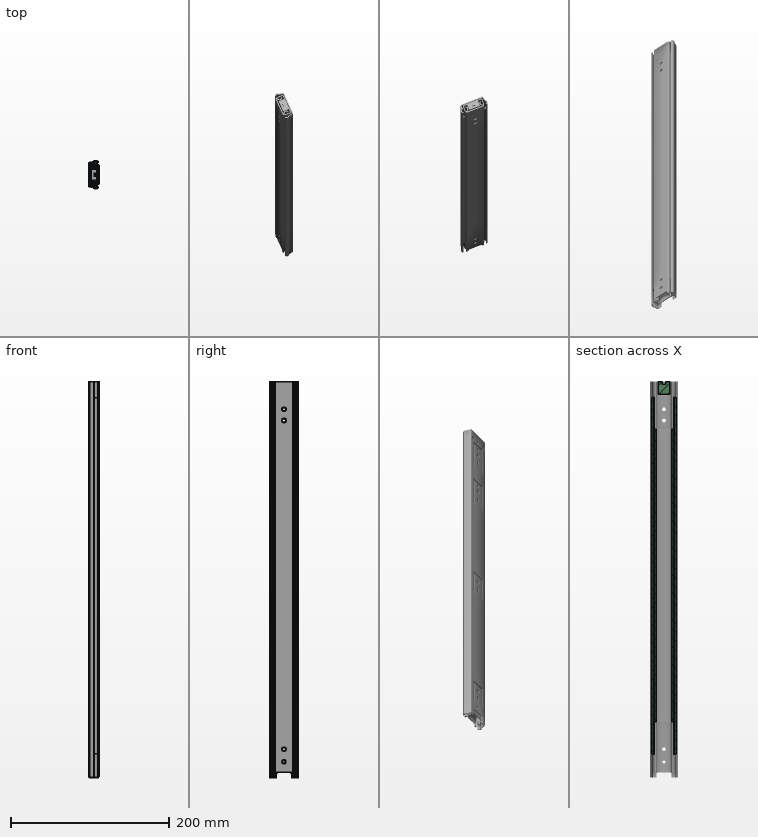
import cadquery as cq
import math


length = 500.0
slide_depth = 12.7
slide_width = 35.59

outer_sheet = 1.2
outer_half = 15.4
outer_corner_radius = 1.15
race_x = 8.6
race_radius = 3.3
race_y = slide_width / 2 - race_radius
race_start_x = 5.8
race_inside_start_x = 6.8
lip_x = 11.7
lead_chamfer = outer_sheet

middle_sheet = 1.1
middle_web_x = 1.7
middle_half = 13.2
middle_end_x = 10.4
middle_corner_radius = 1.5
middle_bottom = 6.6

inner_sheet = 1.2
inner_half = 12.4
inner_shoulder_x = 10.9
inner_corner_radius = 1.4
groove_x = 7.6
groove_y = 11.4
groove_radius = 2.3
groove_half = 2.1
inner_bottom = 2.0

notch_half = 9.6
outer_notch_top = 11.6
inner_notch_top = 6.6
notch_corner = 1.5

tab_half = 6.5
tab_slot = 3.0
tab_slot_end_radius = 1.2
tab_slot_ranges = [(437.5, 482.7), (374.2, 417.9), (217.6, 253.8), (26.4, 61.0)]
small_hole = 4.5
small_hole_heights = [486.7, 474.4, 411.0, 19.6]
large_hole = 6.2
large_hole_heights = [464.6, 401.4, 241.0, 49.0]
oblong_holes = [(449.5, 9.8), (385.5, 8.0), (228.2, 9.5), (36.0, 8.0)]
window_y_range = (8.3, 13.5)
window_z_range = (484.2, 490.3)

screw_hole = 4.5
screw_hole_heights = [465.3, 451.0, 36.0, 20.3]
middle_only_hole_heights = [487.8, 244.3]

outer_cage_gap = 0.1
outer_cage_sheet = 0.8
outer_cage_x_range = (1.5, 10.4)
outer_bead_y = 14.9
outer_bead_radius = 1.6
outer_cage_z_range = (30.0, 480.0)

inner_cage_sheet = 0.8
inner_cage_half = 11.7
inner_cage_end_x = 9.2
inner_bead_y = 10.6
inner_bead_radius = 1.3
inner_cage_z_range = (70.0, 440.0)

block_half = 7.4
block_end_x = 10.2
block_height = 16.0
block_slot_x = 7.4
block_slot_width = 1.0
block_slot_length = 3.6
block_slot_depth = 3.0

middle_web_end = middle_web_x + middle_sheet


def extruded(section, bottom, top):
    """Extrude a section in the XY plane from Z = bottom to Z = top."""
    return section.extrude(top - bottom).translate((0, 0, bottom))


def with_mirror(half):
    """Join a half body above Y = 0 with its mirror image."""
    return half.union(half.mirror("XZ"))


def box(x_range, y_range, z_range):
    """Box filling the given ranges."""
    ranges = (x_range, y_range, z_range)
    sizes = [high - low for low, high in ranges]
    corner = tuple(low for low, _ in ranges)
    return cq.Workplane("XY").box(*sizes, centered=False).translate(corner)


def across_y(half):
    return (-half, half)


def rise(radius, offset):
    """Distance of a circle from its centre line, offset along that line from the centre."""
    return math.sqrt(radius ** 2 - offset ** 2)


def holes(diameter, heights):
    """Cylinders along X on the centre line, reaching through every web."""
    points = [(0, height) for height in heights]
    return cq.Workplane("YZ").pushPoints(points).circle(diameter / 2).extrude(slide_depth)


def notch(top):
    """Cutter for the opening in a rail's lower end, with chamfered upper corners."""
    cutter = box((0, slide_depth), across_y(notch_half), (0, top))
    return cutter.edges("|X and >Z").chamfer(notch_corner)


def outer_profile():
    inside_radius = race_radius - outer_sheet
    lip_scale = inside_radius / race_radius
    lip_run = lip_x - race_x
    lip_rise = rise(race_radius, lip_run)
    inside_start_y = race_y + rise(inside_radius, race_inside_start_x - race_x)
    half = (
        cq.Workplane("XY")
        .lineTo(0, outer_half - outer_corner_radius)
        .radiusArc((outer_corner_radius, outer_half), outer_corner_radius)
        .lineTo(race_start_x, race_y + rise(race_radius, race_start_x - race_x))
        .threePointArc((race_x, race_y + race_radius), (lip_x, race_y + lip_rise))
        .lineTo(race_x + lip_run * lip_scale, race_y + lip_rise * lip_scale)
        .threePointArc((race_x, race_y + inside_radius), (race_inside_start_x, inside_start_y))
        .lineTo(outer_sheet, outer_half - outer_sheet)
        .lineTo(outer_sheet, 0)
        .close()
    )
    return with_mirror(extruded(half, 0, length))


def tab_slot_cutter(bottom, top):
    """Slot shaped as an upside-down U, which frees a tab in the web."""
    web = (0, outer_sheet)
    outline = box(web, across_y(tab_half + tab_slot), (bottom, top))
    tab = box(web, across_y(tab_half), (bottom, top - tab_slot))
    slot = outline.cut(tab)
    return slot.edges("|X and <Z").fillet(tab_slot_end_radius)


def lead_cutter():
    """Wedge that bevels the outside of the web's lower end."""
    corners = [(0, 0), (lead_chamfer, 0), (0, lead_chamfer)]
    wedge = cq.Workplane("XZ").polyline(corners).close()
    return wedge.extrude(slide_width / 2, both=True)


def make_outer_rail():
    rail = outer_profile()
    for bottom, top in tab_slot_ranges:
        rail = rail.cut(tab_slot_cutter(bottom, top))
    rail = rail.cut(holes(small_hole, small_hole_heights))
    rail = rail.cut(holes(large_hole, large_hole_heights))
    for height, hole_length in oblong_holes:
        oblong = cq.Workplane("YZ").center(0, height).slot2D(hole_length, small_hole, 90)
        rail = rail.cut(oblong.extrude(outer_sheet))
    window = box((0, outer_sheet), window_y_range, window_z_range)
    rail = rail.cut(window).cut(window.mirror("XZ"))
    return rail.cut(notch(outer_notch_top)).cut(lead_cutter())


def make_middle_rail():
    inside_radius = middle_corner_radius - middle_sheet
    inside_half = middle_half - middle_sheet
    half = (
        cq.Workplane("XY")
        .moveTo(middle_web_x, 0)
        .lineTo(middle_web_x, middle_half - middle_corner_radius)
        .radiusArc((middle_web_x + middle_corner_radius, middle_half), middle_corner_radius)
        .lineTo(middle_end_x, middle_half)
        .lineTo(middle_end_x, inside_half)
        .lineTo(middle_web_end + inside_radius, inside_half)
        .radiusArc((middle_web_end, inside_half - inside_radius), -inside_radius)
        .lineTo(middle_web_end, 0)
        .close()
    )
    rail = with_mirror(extruded(half, middle_bottom, length))
    return rail.cut(holes(screw_hole, screw_hole_heights + middle_only_hole_heights))


def make_inner_rail():
    back_radius = groove_radius + inner_sheet
    back_scale = back_radius / groove_radius
    groove_drop = rise(groove_radius, groove_half)
    back_half = groove_half * back_scale
    back_end_y = groove_y - groove_drop * back_scale
    web_inside_x = slide_depth - inner_sheet
    half = (
        cq.Workplane("XY")
        .moveTo(slide_depth, 0)
        .lineTo(slide_depth, inner_half - inner_corner_radius)
        .radiusArc((slide_depth - inner_corner_radius, inner_half), -inner_corner_radius)
        .lineTo(inner_shoulder_x, inner_half)
        .lineTo(groove_x + groove_half, groove_y - groove_drop)
        .threePointArc((groove_x, groove_y - groove_radius),
                       (groove_x - groove_half, groove_y - groove_drop))
        .lineTo(groove_x - back_half, back_end_y)
        .threePointArc((groove_x, groove_y - back_radius), (groove_x + back_half, back_end_y))
        .lineTo(web_inside_x, inner_half - inner_sheet)
        .lineTo(web_inside_x, 0)
        .close()
    )
    rail = with_mirror(extruded(half, inner_bottom, length))
    rail = rail.cut(holes(screw_hole, screw_hole_heights))
    return rail.cut(notch(inner_notch_top))


def bead(x, y, radius, z_range):
    """Round rib of a cage, lying in the ball raceway."""
    return extruded(cq.Workplane("XY").center(x, y).circle(radius), *z_range)


def make_outer_cage(side):
    """Strip between the outer and middle flanges; side is +1 or -1 along Y."""
    near_y = middle_half + outer_cage_gap
    far_y = near_y + outer_cage_sheet
    strip = box(outer_cage_x_range, (near_y, far_y), outer_cage_z_range)
    rib = bead(race_x, outer_bead_y, outer_bead_radius, outer_cage_z_range)
    cage = strip.union(rib)
    return cage if side > 0 else cage.mirror("XZ")


def make_inner_cage():
    """Channel on the middle web, with an arm between each pair of inner flanges."""
    arm_near_y = inner_cage_half - inner_cage_sheet
    base_x_range = (middle_web_end, middle_web_end + inner_cage_sheet)
    arm_x_range = (middle_web_end, inner_cage_end_x)
    base = box(base_x_range, (0, inner_cage_half - inner_cage_sheet / 2), inner_cage_z_range)
    arm = box(arm_x_range, (arm_near_y, inner_cage_half), inner_cage_z_range)
    rib = bead(groove_x, inner_bead_y, inner_bead_radius, inner_cage_z_range)
    return with_mirror(base.union(arm).union(rib))


def make_end_block():
    z_range = (length - block_height, length)
    block = box((middle_web_end, block_end_x), across_y(block_half), z_range)
    slot_x_range = (block_slot_x - block_slot_width / 2, block_slot_x + block_slot_width / 2)
    slot = box(slot_x_range, across_y(block_slot_length / 2), (length - block_slot_depth, length))
    return block.cut(slot)


outer_rail = make_outer_rail()
middle_rail = make_middle_rail()
inner_rail = make_inner_rail()
outer_cages = [make_outer_cage(side) for side in (1, -1)]
inner_cage = make_inner_cage()
end_block = make_end_block()

result = cq.Compound.makeCompound([
    outer_rail.val(),
    middle_rail.val(),
    inner_rail.val(),
    *[cage.val() for cage in outer_cages],
    inner_cage.val(),
    end_block.val(),
])